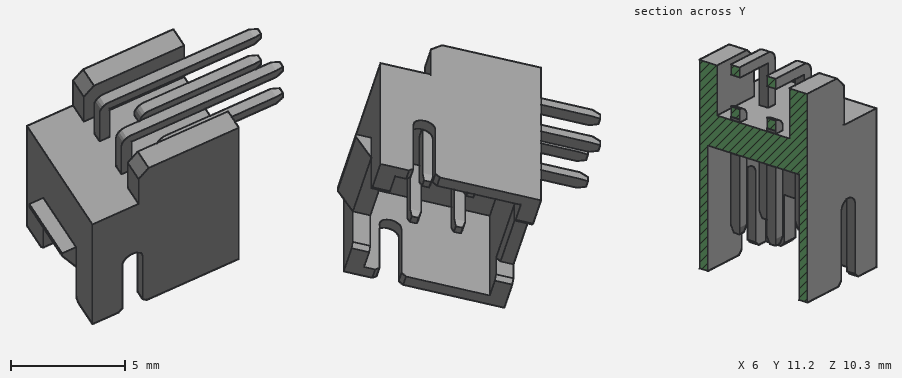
import cadquery as cq


body_width = 6.0
body_depth = 7.3
ledge_height = 7.6
ear_height = 10.0
ear_width = 1.0
ear_depth = 5.01
ear_chamfer = 0.5

side_wall = 0.47
end_wall = 0.8
cavity_depth = 6.0

mouth_chamfer = 0.2
slot_width = 1.0
slot_height = 4.0
slot_front = 1.5
window_width = 3.0
front_window_height = 2.5
rear_window_height = 1.25

latch_reach = 0.7
latch_top = slot_height
latch_lip = 0.2

pin_size = 0.5
pin_half = pin_size / 2
pin_pitch = 2.0
bend_radius = pin_size
pin_taper_length = 0.39
pin_tip_size = 0.31
pin_bottom = 2.18
tail_reach = 3.2
upper_tail_top = 10.25
half_pitch = pin_pitch / 2
body_middle = body_depth / 2


def block(width, depth, height, front, bottom):
    """Box centred on X, starting at the given Y and Z."""
    box = cq.Workplane("XY").box(width, depth, height, centered=(True, False, False))
    return box.translate((0, front, bottom))


def housing_blank():
    ear_front = body_depth - ear_depth
    profile = [
        (0, 0),
        (body_depth, 0),
        (body_depth, ear_height),
        (ear_front + ear_chamfer, ear_height),
        (ear_front, ear_height - ear_chamfer),
        (ear_front, ledge_height),
        (0, ledge_height),
    ]
    blank = cq.Workplane("YZ").polyline(profile).close().extrude(body_width / 2, both=True)
    gap_between_ears = block(
        body_width - 2 * ear_width, body_depth, ear_height - ledge_height, 0, ledge_height
    )
    return blank.cut(gap_between_ears)


def cavity():
    return block(body_width - 2 * side_wall, body_depth - 2 * end_wall, cavity_depth, end_wall, 0)


def side_slots():
    """Round-topped slot with a flared mouth, running through both side walls."""
    radius = slot_width / 2
    back = slot_front + slot_width
    outline = (
        cq.Workplane("YZ")
        .moveTo(slot_front - mouth_chamfer, 0)
        .lineTo(slot_front, mouth_chamfer)
        .lineTo(slot_front, slot_height - radius)
        .threePointArc((slot_front + radius, slot_height), (back, slot_height - radius))
        .lineTo(back, mouth_chamfer)
        .lineTo(back + mouth_chamfer, 0)
        .close()
    )
    return outline.extrude(body_width / 2, both=True)


def wall_window(height, wall_front):
    """Rectangular window with a flared mouth through one end wall."""
    half = window_width / 2
    outline = [
        (-half - mouth_chamfer, 0),
        (-half, mouth_chamfer),
        (-half, height),
        (half, height),
        (half, mouth_chamfer),
        (half + mouth_chamfer, 0),
    ]
    window = cq.Workplane("XZ").polyline(outline).close().extrude(-end_wall)
    return window.translate((0, wall_front, 0))


def rear_window_bevel():
    """Lead-in on the inner top edge of the rear window."""
    inner_face = body_depth - end_wall
    bevel = [
        (inner_face, rear_window_height),
        (inner_face + mouth_chamfer, rear_window_height),
        (inner_face, rear_window_height + mouth_chamfer),
    ]
    return cq.Workplane("YZ").polyline(bevel).close().extrude(window_width / 2, both=True)


def latch():
    profile = [
        (0, front_window_height),
        (0, latch_top),
        (-latch_reach, latch_top),
        (-latch_reach, latch_top - latch_lip),
    ]
    return cq.Workplane("YZ").polyline(profile).close().extrude(window_width / 2, both=True)


def pin_tip(plane):
    """Tapered pin end growing along the plane normal."""
    return (
        cq.Workplane(plane)
        .rect(pin_size, pin_size)
        .workplane(offset=pin_taper_length)
        .rect(pin_tip_size, pin_tip_size)
        .loft()
    )


def pin(x, y, tail_top):
    """Square pin rising at (x, y) and bending toward +Y just below tail_top."""
    tail_end = body_depth + tail_reach - pin_taper_length
    post_bottom = pin_bottom + pin_taper_length
    front = y - pin_half
    post = block(pin_size, pin_size, tail_top - post_bottom, front, post_bottom)
    tail = block(pin_size, tail_end - front, pin_size, front, tail_top - pin_size)
    bent = post.union(tail).edges("|X and <Y and >Z").fillet(bend_radius).translate((x, 0, 0))
    lower_tip = pin_tip(cq.Plane((x, y, post_bottom), (1, 0, 0), (0, 0, -1)))
    tail_tip = pin_tip(cq.Plane((x, tail_end, tail_top - pin_half), (1, 0, 0), (0, 1, 0)))
    return bent.union(lower_tip).union(tail_tip)


result = (
    housing_blank()
    .cut(cavity())
    .cut(side_slots())
    .cut(wall_window(front_window_height, 0))
    .cut(wall_window(rear_window_height, body_depth - end_wall))
    .cut(rear_window_bevel())
    .union(latch())
)
for column_x in (-half_pitch, half_pitch):
    result = result.union(pin(column_x, body_middle - half_pitch, upper_tail_top))
    result = result.union(pin(column_x, body_middle + half_pitch, upper_tail_top - pin_pitch))